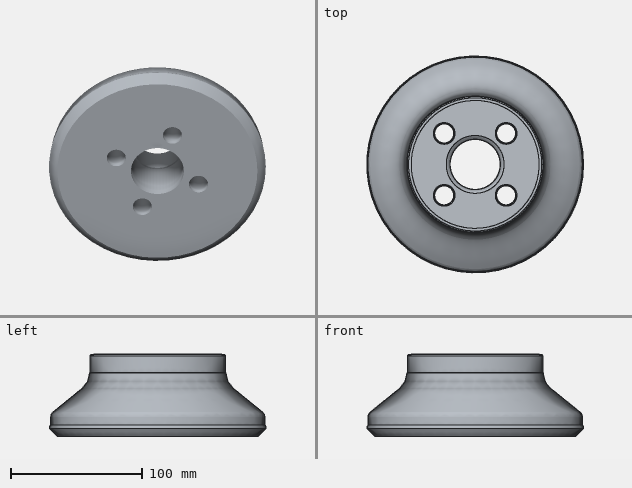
import cadquery as cq

total_height = 63.0
ring_height = 9.0
hub_base_height = 48.7
bore_relief_height = 38.0
neck_corner_height = 41.3
rim_corner_height = 17.3

raised_face_diameter = 97.5
hub_diameter = 103.5
neck_diameter = 104.0
rim_diameter = 163.4

raised_face_step = 0.4
hub_chamfer = 1.0
shoulder_bevel = (neck_diameter - hub_diameter) / 2
neck_fillet = 15.0
rim_fillet = 5.0

ring_diameter = 165.2
ring_chamfer = 6.4

bore_diameter = 38.11
bore_chamfer = 3.0
bore_relief_diameter = 40.3

bolt_hole_count = 4
bolt_hole_diameter = 14.5
bolt_hole_chamfer = 1.0
bolt_circle_diameter = 66.7


def cylinder(diameter, bottom, top):
    return cq.Workplane("XY").workplane(offset=bottom).circle(diameter / 2).extrude(top - bottom)


def chamfered_hole(diameter, bottom, top, chamfer):
    """Hole cutter that opens out into a 45 degree chamfer at its top end."""
    radius = diameter / 2
    return (
        cq.Workplane("XZ")
        .moveTo(0, bottom)
        .lineTo(radius, bottom)
        .lineTo(radius, top - chamfer)
        .lineTo(radius + chamfer, top)
        .lineTo(0, top)
        .close()
        .revolve(360, (0, 0, 0), (0, 1, 0))
    )


def edges_at_height(solid, height):
    """Edges of a turned solid that lie at the given height."""
    margin = 0.01
    reach = rim_diameter
    slab = cq.selectors.BoxSelector((-reach, -reach, height - margin), (reach, reach, height + margin))
    return solid.edges(slab)


def cut_openings(solid):
    """Cut the stepped bore and the bolt holes where they pass through a body."""
    solid = solid.cut(chamfered_hole(bore_diameter, 0, total_height, bore_chamfer))
    solid = solid.cut(cylinder(bore_relief_diameter, 0, bore_relief_height))
    bolt_hole = chamfered_hole(bolt_hole_diameter, 0, total_height, bolt_hole_chamfer)
    bolt_hole = bolt_hole.translate((bolt_circle_diameter / 2, 0, 0))
    pitch = 360 / bolt_hole_count
    for index in range(bolt_hole_count):
        angle = (index + 0.5) * pitch
        solid = solid.cut(bolt_hole.rotate((0, 0, 0), (0, 0, 1), angle))
    return solid


def make_flange():
    """Turned flange: raised face, hub, neck, conical flank and rim."""
    hub_top = total_height - raised_face_step
    hub_radius = hub_diameter / 2
    neck_radius = neck_diameter / 2
    rim_radius = rim_diameter / 2
    turned = (
        cq.Workplane("XZ")
        .moveTo(0, ring_height)
        .lineTo(rim_radius, ring_height)
        .lineTo(rim_radius, rim_corner_height)
        .lineTo(neck_radius, neck_corner_height)
        .lineTo(neck_radius, hub_base_height)
        .lineTo(hub_radius, hub_base_height + shoulder_bevel)
        .lineTo(hub_radius, hub_top - hub_chamfer)
        .lineTo(hub_radius - hub_chamfer, hub_top)
        .lineTo(raised_face_diameter / 2, hub_top)
        .lineTo(raised_face_diameter / 2, total_height)
        .lineTo(0, total_height)
        .close()
        .revolve(360, (0, 0, 0), (0, 1, 0))
    )
    turned = edges_at_height(turned, neck_corner_height).fillet(neck_fillet)
    turned = edges_at_height(turned, rim_corner_height).fillet(rim_fillet)
    return cut_openings(turned)


def make_ring():
    """Base ring under the flange: a rounded shoulder above a chamfered underside."""
    ring_radius = ring_diameter / 2
    rim_radius = rim_diameter / 2
    bottom_radius = ring_radius - ring_chamfer
    overhang = ring_radius - rim_radius
    shoulder_height = ring_height - ring_chamfer
    shoulder_radius = (overhang**2 + shoulder_height**2) / (2 * overhang)
    turned = (
        cq.Workplane("XZ")
        .lineTo(bottom_radius, 0)
        .lineTo(ring_radius, ring_chamfer)
        .radiusArc((rim_radius, ring_height), -shoulder_radius)
        .lineTo(0, ring_height)
        .close()
        .revolve(360, (0, 0, 0), (0, 1, 0))
    )
    return cut_openings(turned)


flange = make_flange()
ring = make_ring()
result = cq.Compound.makeCompound([flange.val(), ring.val()])